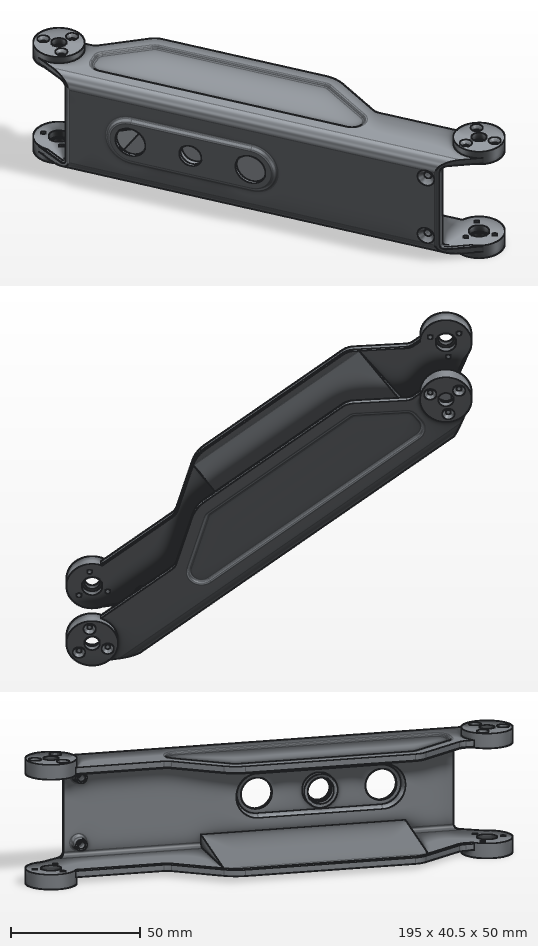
import cadquery as cq
import math

PIVOT_SPACING = 175.0
PIVOT_X = PIVOT_SPACING / 2
FLANGE_TOP_Z = 22.0
WALL = 3.0
WEB_OUTER_Y = -18.0
BEND_RADIUS = 5.0
INNER_BEND_RADIUS = BEND_RADIUS - WALL
WEB_INNER_Y = WEB_OUTER_Y + WALL
FLANGE_INNER_Z = FLANGE_TOP_Z - WALL
FLANGE_BACK_Y = 21.0

BOSS_RADIUS = 10.0
BOSS_TOP_Z = 25.0
BOSS_BOTTOM_Z = FLANGE_INNER_Z
PIVOT_HOLE_DIAMETER = 6.0
PIVOT_RECESS_DIAMETER = 8.0
PIVOT_RECESS_DEPTH = 3.0
BOLT_CIRCLE_RADIUS = 6.5
BOLT_COUNT = 3
BOLT_HOLE_DIAMETER = 2.0
BOLT_SINK_DIAMETER = 4.8

WEB_END_X = PIVOT_X - 11.0
WEB_END_RADIUS = 2.0
WEB_FLAT_X = PIVOT_X - 9.2
SLOPE_ANGLE = math.radians(35)
SLOPE = math.tan(SLOPE_ANGLE)
LEFT_SHOULDER_Y = 7.0
RIGHT_SHOULDER_Y = 5.25
LEFT_CREST_X = -55.4
RIGHT_CREST_X = 19.7
FOOT_RADIUS = 5.0
LEFT_CREST_RADIUS = 8.0
RIGHT_CREST_RADIUS = 14.0
INNER_EDGE_CHAMFER = 0.5

RECESS_MARGIN = 4.75
RECESS_LEFT_X = -73.0
RECESS_FRONT_Y = -8.1
RECESS_DEPTH = 1.0
RECESS_FRONT_RADIUS = 5.5
RECESS_CORNER_RADIUS = 4.0
BEVEL_ANGLE = 45.0
BEVEL_RADIUS = 1.0

WEDGE_OVERHANG = 3.5
WEDGE_START_X = LEFT_CREST_X - WEDGE_OVERHANG
WEDGE_END_X = RIGHT_CREST_X + WEDGE_OVERHANG
WEDGE_WEB_Z = 14.0
WEDGE_BACK_Y = 18.0

PAD_HEIGHT = 1.5
PAD_WIDTH = 21.0
PAD_SHELL = 1.5
POCKET_DRAFT = 20.0
PAD_POCKET_WIDTH = PAD_WIDTH - 2 * PAD_SHELL
HOLE_RING_DIAMETER = 13.5
HOLE_RING_BORE = 10.5
HOLE_PITCH = 25.0
PAD_CENTER_X = -HOLE_PITCH
LARGE_HOLE_DIAMETER = 12.5
SMALL_HOLE_DIAMETER = 9.25

SCREW_X = 72.5
SCREW_Z = 13.5
SCREW_HOLE_DIAMETER = 3.0
SCREW_SINK_DIAMETER = 7.0
POST_DIAMETER = 4.5
POST_END_Y = -10.0
POST_FOOT_RADIUS = 1.2

DOWN = (0, 0, -1)
INWARD = (0, 1, 0)
SELECT_MARGIN = 0.05


def tangent_point():
    """Point where the line from the right web end touches the pivot circle, relative to the pivot."""
    dx = WEB_END_X - PIVOT_X
    distance = math.hypot(dx, WEB_OUTER_Y)
    angle = math.atan2(WEB_OUTER_Y, dx) + math.acos(BOSS_RADIUS / distance)
    return BOSS_RADIUS * math.cos(angle), BOSS_RADIUS * math.sin(angle)


def round_corner(solid, x, y, radius):
    """Round the Z-parallel edge that passes through (x, y)."""
    box = cq.selectors.BoxSelector(
        (x - SELECT_MARGIN, y - SELECT_MARGIN, -BOSS_TOP_Z),
        (x + SELECT_MARGIN, y + SELECT_MARGIN, BOSS_TOP_Z),
    )
    return solid.edges("|Z").edges(box).fillet(radius)


def outline_prism():
    """Plan outline of the channel, extruded over the full flange height."""
    touch_x, touch_y = tangent_point()
    left_foot_x = LEFT_CREST_X - (FLANGE_BACK_Y - LEFT_SHOULDER_Y) / SLOPE
    right_foot_x = RIGHT_CREST_X + (FLANGE_BACK_Y - RIGHT_SHOULDER_Y) / SLOPE
    prism = (
        cq.Workplane("XY", origin=(0, 0, -FLANGE_TOP_Z))
        .moveTo(-WEB_END_X, WEB_OUTER_Y)
        .lineTo(WEB_END_X, WEB_OUTER_Y)
        .lineTo(PIVOT_X + touch_x, touch_y)
        .lineTo(PIVOT_X, 0)
        .lineTo(PIVOT_X, RIGHT_SHOULDER_Y)
        .lineTo(right_foot_x, RIGHT_SHOULDER_Y)
        .lineTo(RIGHT_CREST_X, FLANGE_BACK_Y)
        .lineTo(LEFT_CREST_X, FLANGE_BACK_Y)
        .lineTo(left_foot_x, LEFT_SHOULDER_Y)
        .lineTo(-PIVOT_X, LEFT_SHOULDER_Y)
        .lineTo(-PIVOT_X, 0)
        .lineTo(-PIVOT_X - touch_x, touch_y)
        .close()
        .extrude(2 * FLANGE_TOP_Z)
    )
    for x in (-WEB_END_X, WEB_END_X):
        prism = round_corner(prism, x, WEB_OUTER_Y, WEB_END_RADIUS)
    prism = round_corner(prism, right_foot_x, RIGHT_SHOULDER_Y, FOOT_RADIUS)
    prism = round_corner(prism, RIGHT_CREST_X, FLANGE_BACK_Y, RIGHT_CREST_RADIUS)
    prism = round_corner(prism, LEFT_CREST_X, FLANGE_BACK_Y, LEFT_CREST_RADIUS)
    return round_corner(prism, left_foot_x, LEFT_SHOULDER_Y, FOOT_RADIUS)


def x_bar(front_y, half_height, radius):
    """Bar along X, open-ended at the back, with its two front edges rounded."""
    length = 2 * (PIVOT_X + BOSS_RADIUS)
    depth = FLANGE_BACK_Y - front_y
    return (
        cq.Workplane("XY")
        .box(length, depth, 2 * half_height)
        .translate((0, front_y + depth / 2, 0))
        .edges("|X and <Y")
        .fillet(radius)
    )


def wedges():
    """Solid wedges inside the channel, thickest at the web."""
    mid_web_y = WEB_INNER_Y - WALL / 2
    mid_flange_z = FLANGE_INNER_Z + WALL / 2
    wedge = (
        cq.Workplane("YZ", origin=(WEDGE_START_X, 0, 0))
        .moveTo(WEDGE_BACK_Y, FLANGE_INNER_Z)
        .lineTo(WEB_INNER_Y, WEDGE_WEB_Z)
        .lineTo(mid_web_y, WEDGE_WEB_Z)
        .lineTo(mid_web_y, mid_flange_z)
        .lineTo(WEDGE_BACK_Y, mid_flange_z)
        .close()
        .extrude(WEDGE_END_X - WEDGE_START_X)
    )
    return wedge.union(wedge.mirror("XY"))


def end_opening(side):
    """Cutter that squares off the web end between the flanges."""
    reach = BOSS_RADIUS + PIVOT_X - WEB_FLAT_X
    depth = FLANGE_BACK_Y - WEB_OUTER_Y
    return (
        cq.Workplane("XY")
        .box(reach, depth, 2 * FLANGE_INNER_Z)
        .edges("|Y")
        .edges("<X")
        .fillet(INNER_BEND_RADIUS)
        .translate((WEB_FLAT_X + reach / 2, WEB_OUTER_Y + depth / 2, 0))
        .rotate((0, 0, 0), (0, 1, 0), 90 - 90 * side)
    )


def chamfer_inner_edges(body):
    """Break the free edges of both inner flange faces: along the back and along the slanted ends."""
    reach = PIVOT_X + BOSS_RADIUS
    slant_start_x = WEB_FLAT_X + INNER_BEND_RADIUS
    spans = (
        (-reach, reach, RIGHT_SHOULDER_Y - SELECT_MARGIN, FLANGE_BACK_Y + SELECT_MARGIN),
        (slant_start_x + SELECT_MARGIN, reach, WEB_OUTER_Y, -BOSS_RADIUS),
        (-reach, -slant_start_x - SELECT_MARGIN, WEB_OUTER_Y, -BOSS_RADIUS),
    )
    for z in (-FLANGE_INNER_Z, FLANGE_INNER_Z):
        for min_x, max_x, min_y, max_y in spans:
            span = cq.selectors.BoxSelector(
                (min_x, min_y, z - SELECT_MARGIN),
                (max_x, max_y, z + SELECT_MARGIN),
            )
            body = body.edges(span).chamfer(INNER_EDGE_CHAMFER)
    return body


def channel():
    """Bent channel trimmed to the plan outline, with squared web ends, chamfers and wedges."""
    outer = x_bar(WEB_OUTER_Y, FLANGE_TOP_Z, BEND_RADIUS)
    inner = x_bar(WEB_INNER_Y, FLANGE_INNER_Z, INNER_BEND_RADIUS)
    body = outer.cut(inner).intersect(outline_prism())
    for side in (-1, 1):
        body = body.cut(end_opening(side))
    return chamfer_inner_edges(body).union(wedges())


def flange_recess():
    """Recess cutter for the upper flange: narrows by its depth towards the floor."""
    back_y = FLANGE_BACK_Y - RECESS_MARGIN
    slant = RECESS_MARGIN * math.tan(SLOPE_ANGLE / 2)
    left_crest_x = LEFT_CREST_X + slant
    right_crest_x = RIGHT_CREST_X - slant
    left_foot_y = back_y - (left_crest_x - RECESS_LEFT_X) * SLOPE
    right_tip_x = right_crest_x + (back_y - RECESS_FRONT_Y) / SLOPE
    prism = (
        cq.Workplane("XY", origin=(0, 0, FLANGE_TOP_Z - RECESS_DEPTH))
        .polyline(
            [
                (RECESS_LEFT_X, RECESS_FRONT_Y),
                (right_tip_x, RECESS_FRONT_Y),
                (right_crest_x, back_y),
                (left_crest_x, back_y),
                (RECESS_LEFT_X, left_foot_y),
            ]
        )
        .close()
        .extrude(RECESS_DEPTH)
    )
    prism = round_corner(prism, RECESS_LEFT_X, RECESS_FRONT_Y, RECESS_FRONT_RADIUS)
    prism = round_corner(prism, right_tip_x, RECESS_FRONT_Y, RECESS_FRONT_RADIUS)
    for x, y in [(right_crest_x, back_y), (left_crest_x, back_y), (RECESS_LEFT_X, left_foot_y)]:
        prism = round_corner(prism, x, y, RECESS_CORNER_RADIUS)
    rim = prism.faces(">Z").wires().val()
    tapered = cq.Workplane("XY").add(rim).toPending().extrude(-RECESS_DEPTH, taper=BEVEL_ANGLE)
    return tapered.faces("<Z").edges().fillet(BEVEL_RADIUS)


def recess_flanges(body):
    """Cut the recess into both flanges and round its rims."""
    recess = flange_recess()
    bounds = recess.val().BoundingBox()
    body = body.cut(recess).cut(recess.mirror("XY"))
    for z in (-FLANGE_TOP_Z, FLANGE_TOP_Z):
        rim = cq.selectors.BoxSelector(
            (bounds.xmin - SELECT_MARGIN, bounds.ymin - SELECT_MARGIN, z - SELECT_MARGIN),
            (bounds.xmax + SELECT_MARGIN, bounds.ymax + SELECT_MARGIN, z + SELECT_MARGIN),
            boundingbox=True,
        )
        body = body.edges(rim).fillet(BEVEL_RADIUS)
    return body


def cone(start_diameter, end_diameter, origin, direction):
    """45 degree countersink cutter that starts at the given point and narrows along the direction."""
    depth = (start_diameter - end_diameter) / 2
    return cq.Workplane(
        cq.Solid.makeCone(start_diameter / 2, end_diameter / 2, depth, cq.Vector(*origin), cq.Vector(*direction))
    )


def cylinder(diameter, length, origin, direction):
    """Cylinder that starts at the given point and runs along the direction."""
    return cq.Workplane(
        cq.Solid.makeCylinder(diameter / 2, length, cq.Vector(*origin), cq.Vector(*direction))
    )


def boss_holes(side):
    """Cutters for the upper boss on the left (side = -1) or the right (side = 1)."""
    pivot_x = side * PIVOT_X
    height = BOSS_TOP_Z - BOSS_BOTTOM_Z
    recess_top = (pivot_x, 0, BOSS_BOTTOM_Z + PIVOT_RECESS_DEPTH)
    cutter = cylinder(PIVOT_HOLE_DIAMETER, height, (pivot_x, 0, BOSS_TOP_Z), DOWN)
    cutter = cutter.union(cylinder(PIVOT_RECESS_DIAMETER, PIVOT_RECESS_DEPTH, recess_top, DOWN))
    for index in range(BOLT_COUNT):
        angle = 2 * math.pi * index / BOLT_COUNT
        x = pivot_x + side * BOLT_CIRCLE_RADIUS * math.cos(angle)
        y = BOLT_CIRCLE_RADIUS * math.sin(angle)
        top = (x, y, BOSS_TOP_Z)
        cutter = cutter.union(cylinder(BOLT_HOLE_DIAMETER, height, top, DOWN))
        cutter = cutter.union(cone(BOLT_SINK_DIAMETER, BOLT_HOLE_DIAMETER, top, DOWN))
    return cutter


def add_bosses(body):
    """Pivot bosses with their holes, on both flanges."""
    for side in (-1, 1):
        boss = cylinder(2 * BOSS_RADIUS, BOSS_TOP_Z - BOSS_BOTTOM_Z, (side * PIVOT_X, 0, BOSS_TOP_Z), DOWN)
        body = body.union(boss).union(boss.mirror("XY"))
        holes = boss_holes(side)
        body = body.cut(holes).cut(holes.mirror("XY"))
    return body


def slot(width, near_y, height, taper):
    """Slot-shaped tapering block along X that rises towards -Y from near_y."""
    return (
        cq.Workplane("XZ", origin=(PAD_CENTER_X, near_y, 0))
        .slot2D(2 * HOLE_PITCH + width, width)
        .extrude(height, taper=taper)
    )


def add_pad(body):
    """Raised hollow pad with bevelled, rounded sides and a row of three holes; the middle one keeps a ring."""
    pad = slot(PAD_WIDTH, WEB_OUTER_Y, PAD_HEIGHT, BEVEL_ANGLE).faces("<Y").edges().fillet(BEVEL_RADIUS)
    body = body.union(pad)
    half_width = PAD_WIDTH / 2 + SELECT_MARGIN
    foot = cq.selectors.BoxSelector(
        (PAD_CENTER_X - HOLE_PITCH - half_width, WEB_OUTER_Y - SELECT_MARGIN, -half_width),
        (PAD_CENTER_X + HOLE_PITCH + half_width, WEB_OUTER_Y + SELECT_MARGIN, half_width),
    )
    body = body.edges(foot).fillet(BEVEL_RADIUS)
    pocket_depth = WALL + PAD_HEIGHT - PAD_SHELL
    ring_start = (PAD_CENTER_X, WEB_INNER_Y - pocket_depth, 0)
    ring = cylinder(HOLE_RING_DIAMETER, pocket_depth, ring_start, INWARD)
    ring = ring.cut(cylinder(HOLE_RING_BORE, pocket_depth, ring_start, INWARD))
    body = body.cut(slot(PAD_POCKET_WIDTH, WEB_INNER_Y, pocket_depth, POCKET_DRAFT).cut(ring))
    diameters = (LARGE_HOLE_DIAMETER, SMALL_HOLE_DIAMETER, LARGE_HOLE_DIAMETER)
    for index, diameter in enumerate(diameters):
        x = PAD_CENTER_X + (index - 1) * HOLE_PITCH
        body = body.cut(cylinder(diameter, WALL + PAD_HEIGHT, (x, WEB_OUTER_Y - PAD_HEIGHT, 0), INWARD))
    return body


def add_screw_posts(body):
    """Countersunk holes near the right web end, backed by posts with rounded feet inside the channel."""
    length = POST_END_Y - WEB_OUTER_Y
    reach = POST_DIAMETER / 2 + SELECT_MARGIN
    for z in (-SCREW_Z, SCREW_Z):
        embedded = (SCREW_X, WEB_OUTER_Y + WALL / 2, z)
        body = body.union(cylinder(POST_DIAMETER, length - WALL / 2, embedded, INWARD))
        foot = cq.selectors.BoxSelector(
            (SCREW_X - reach, WEB_INNER_Y - SELECT_MARGIN, z - reach),
            (SCREW_X + reach, WEB_INNER_Y + SELECT_MARGIN, z + reach),
            boundingbox=True,
        )
        body = body.edges(foot).fillet(POST_FOOT_RADIUS)
        start = (SCREW_X, WEB_OUTER_Y, z)
        body = body.cut(cylinder(SCREW_HOLE_DIAMETER, length, start, INWARD))
        body = body.cut(cone(SCREW_SINK_DIAMETER, SCREW_HOLE_DIAMETER, start, INWARD))
    return body


part = channel()
part = recess_flanges(part)
part = add_bosses(part)
part = add_pad(part)
result = add_screw_posts(part)